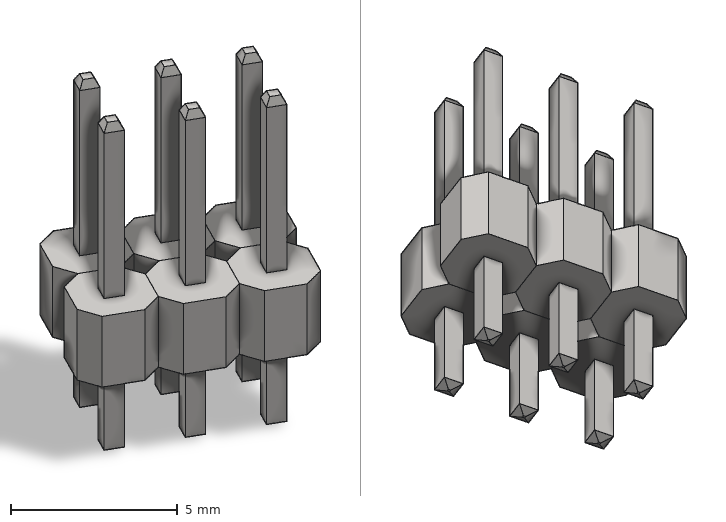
import cadquery as cq

PITCH = 2.54
COLUMNS = 2
ROWS = 3

BLOCK_HEIGHT = 2.49
CORNER_CUT = 0.6

PIN_LENGTH = 11.6
PIN_WIDTH = 0.64
TAIL_LENGTH = 3.0
UPPER_TIP_HEIGHT = 0.28
UPPER_TIP_WIDTH = 0.35
LOWER_TIP_HEIGHT = 0.15
LOWER_TIP_WIDTH = 0.08

PIN_BOTTOM = -TAIL_LENGTH
PIN_TOP = PIN_BOTTOM + PIN_LENGTH
SHANK_BOTTOM = PIN_BOTTOM + LOWER_TIP_HEIGHT
SHANK_TOP = PIN_TOP - UPPER_TIP_HEIGHT


def make_block():
    """Square prism with its four upright corners cut off."""
    side = PITCH / 2
    flat = side - CORNER_CUT
    outline = [
        (-flat, -side),
        (flat, -side),
        (side, -flat),
        (side, flat),
        (flat, side),
        (-flat, side),
        (-side, flat),
        (-side, -flat),
    ]
    return cq.Workplane("XY").polyline(outline).close().extrude(BLOCK_HEIGHT)


def make_taper(z_start, width_start, z_end, width_end):
    """Square frustum between two heights, z_start below z_end."""
    return (
        cq.Workplane("XY", origin=(0, 0, z_start))
        .rect(width_start, width_start)
        .workplane(offset=z_end - z_start)
        .rect(width_end, width_end)
        .loft(ruled=True)
    )


def make_pin():
    """Square shank with a tapered tip at each end."""
    shank = (
        cq.Workplane("XY", origin=(0, 0, SHANK_BOTTOM))
        .rect(PIN_WIDTH, PIN_WIDTH)
        .extrude(SHANK_TOP - SHANK_BOTTOM)
    )
    upper_tip = make_taper(SHANK_TOP, PIN_WIDTH, PIN_TOP, UPPER_TIP_WIDTH)
    lower_tip = make_taper(PIN_BOTTOM, LOWER_TIP_WIDTH, SHANK_BOTTOM, PIN_WIDTH)
    return shank.union(upper_tip).union(lower_tip)


def make_contact():
    """One cell of the header: a block in one piece with its pin."""
    return make_block().union(make_pin())


contact = make_contact()
contacts = cq.Workplane("XY")
for column in range(COLUMNS):
    for row in range(ROWS):
        x = (column - (COLUMNS - 1) / 2) * PITCH
        y = (row - (ROWS - 1) / 2) * PITCH
        contacts = contacts.add(contact.translate((x, y, 0)))

result = cq.Compound.makeCompound([*contacts.vals()])